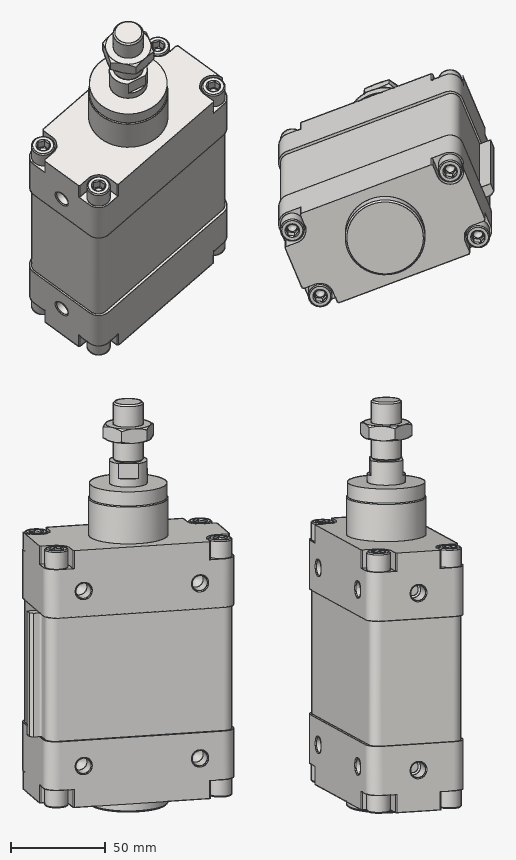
import cadquery as cq
import math

CAP_WIDTH = 54.0
CAP_DEPTH = 104.0
CAP_HEIGHT = 36.2
CAP_CORNER_RADIUS = 7.2
BARREL_WIDTH = 51.0
BARREL_DEPTH = 102.0
BARREL_HEIGHT = 67.1
BARREL_CORNER_RADIUS = 5.5

RAIL_LEFT = -12.9
RAIL_WIDTH = 6.0
RAIL_HEIGHT = 5.2
RAIL_CHAMFER_X = 1.5
RAIL_CHAMFER_Y = 2.0
RAIL_ROOT_RADIUS = 1.0

COLLAR_DIAMETER = 42.0
BOSS_HEIGHT = 6.3
BOSS_CHAMFER = 0.9
COLLAR_HEIGHT = 20.5
COLLAR_NECK_DIAMETER = 41.0
COLLAR_NECK_HEIGHT = 7.6

DRILL_TIP_SLOPE = 0.5

POCKET_DIAMETER = 14.4
POCKET_MOUTH_CHAMFER = 0.7
POCKET_DEPTH = 9.8
SCREW_DIAMETER = 12.5
SCREW_CHAMFER = 0.7
SOCKET_RIM_DIAMETER = 7.6
SOCKET_HEX_WIDTH = 6.0
SOCKET_DEPTH = 5.5
SOCKET_DRILL_DIAMETER = 5.0

PORT_DIAMETER = 8.3
PORT_RIM_DIAMETER = 9.4
PORT_FLOOR_DIAMETER = 6.0
PORT_DEPTH = 8.7
PORT_INSET = 22.2
SIDE_PORT_OFFSET = 31.8

ROD_DIAMETER = 20.0
ROD_LENGTH = 12.5
FLAT_WIDTH = 17.0
FLAT_HEIGHT = 8.0
FLAT_TURN = -15
THREAD_DIAMETER = 16.0
THREAD_CHAMFER = 0.9
TOTAL_HEIGHT = 218.0
NUT_WIDTH = 24.0
NUT_HEIGHT = 7.8
NUT_BOTTOM = 198.2
NUT_CHAMFER_ANGLE = 30
NUT_TURN = 30

CAPS_BOTTOM = BOSS_HEIGHT
BARREL_BOTTOM = CAPS_BOTTOM + CAP_HEIGHT
BARREL_TOP = BARREL_BOTTOM + BARREL_HEIGHT
CAPS_TOP = BARREL_TOP + CAP_HEIGHT
COLLAR_TOP = CAPS_TOP + COLLAR_HEIGHT
ROD_BOTTOM = COLLAR_TOP + COLLAR_NECK_HEIGHT
ROD_SHOULDER = ROD_BOTTOM + ROD_LENGTH

SCREW_X = CAP_WIDTH / 2 - CAP_CORNER_RADIUS
SCREW_Y = CAP_DEPTH / 2 - CAP_CORNER_RADIUS


def level(z):
    return cq.Workplane("XY").workplane(offset=z)


def rounded_block(width, depth, height, corner_radius, z):
    block = level(z).rect(width, depth).extrude(height)
    return block.edges("|Z").fillet(corner_radius)


def hexagon(across_flats, height, z):
    across_corners = across_flats / math.cos(math.pi / 6)
    return level(z).polygon(6, across_corners).extrude(height)


def downward_cone(radius, depth, x, y, z):
    return cq.Workplane(cq.Solid.makeCone(radius, 0, depth, cq.Vector(x, y, z), cq.Vector(0, 0, -1)))


def barrel():
    block = rounded_block(BARREL_WIDTH, BARREL_DEPTH, BARREL_HEIGHT, BARREL_CORNER_RADIUS, BARREL_BOTTOM)
    barrel_face = BARREL_DEPTH / 2
    rail_top = CAP_DEPTH / 2 + RAIL_HEIGHT
    rail_right = RAIL_LEFT + RAIL_WIDTH
    rail = (
        level(BARREL_BOTTOM)
        .moveTo(rail_right, 0)
        .lineTo(rail_right, rail_top)
        .lineTo(RAIL_LEFT + RAIL_CHAMFER_X, rail_top)
        .lineTo(RAIL_LEFT, rail_top - RAIL_CHAMFER_Y)
        .lineTo(RAIL_LEFT, barrel_face + RAIL_ROOT_RADIUS)
        .radiusArc((RAIL_LEFT - RAIL_ROOT_RADIUS, barrel_face), RAIL_ROOT_RADIUS)
        .lineTo(RAIL_LEFT - RAIL_ROOT_RADIUS, 0)
        .close()
        .extrude(BARREL_HEIGHT)
    )
    return block.union(rail)


def collar():
    base = level(CAPS_TOP).circle(COLLAR_DIAMETER / 2).extrude(COLLAR_HEIGHT)
    base = base.faces(">Z").chamfer((COLLAR_DIAMETER - COLLAR_NECK_DIAMETER) / 2)
    neck = level(COLLAR_TOP).circle(COLLAR_NECK_DIAMETER / 2).extrude(COLLAR_NECK_HEIGHT)
    return base.union(neck)


def boss():
    disc = level(0).circle(COLLAR_DIAMETER / 2).extrude(BOSS_HEIGHT)
    return disc.faces("<Z").chamfer(BOSS_CHAMFER)


def pocket_opening(angle):
    """Slot from the Z axis out past a cap face, with its mouth chamfered, turned about Z."""
    half_width = POCKET_DIAMETER / 2
    to_face = CAP_CORNER_RADIUS
    chamfer_start = to_face - POCKET_MOUTH_CHAMFER
    mouth_half_width = half_width + POCKET_MOUTH_CHAMFER
    outline = [
        (0, -half_width),
        (chamfer_start, -half_width),
        (to_face, -mouth_half_width),
        (2 * to_face, -mouth_half_width),
        (2 * to_face, mouth_half_width),
        (to_face, mouth_half_width),
        (chamfer_start, half_width),
        (0, half_width),
    ]
    slot = level(CAPS_TOP - POCKET_DEPTH).polyline(outline).close().extrude(POCKET_DEPTH)
    return slot.rotate((0, 0, 0), (0, 0, 1), angle)


def corner_pocket(side_x, side_y):
    """Counterbore at a top corner, opened straight out to the neighbouring cap faces."""
    pocket = level(CAPS_TOP - POCKET_DEPTH).circle(POCKET_DIAMETER / 2).extrude(POCKET_DEPTH)
    pocket = pocket.union(pocket_opening(90 - 90 * side_x))
    if side_x < 0 or side_y < 0:
        pocket = pocket.union(pocket_opening(90 * side_y))
    return pocket.translate((side_x * SCREW_X, side_y * SCREW_Y, 0))


def screw_head(x, y):
    head = level(CAPS_TOP - POCKET_DEPTH).center(x, y).circle(SCREW_DIAMETER / 2).extrude(POCKET_DEPTH)
    head = head.faces(">Z").chamfer(SCREW_CHAMFER)
    socket = hexagon(SOCKET_HEX_WIDTH, SOCKET_DEPTH, CAPS_TOP - SOCKET_DEPTH).translate((x, y, 0))
    rim_radius = SOCKET_RIM_DIAMETER / 2
    lead_in = downward_cone(rim_radius, rim_radius, x, y, CAPS_TOP)
    drill_radius = SOCKET_DRILL_DIAMETER / 2
    drill_tip = downward_cone(drill_radius, drill_radius * DRILL_TIP_SLOPE, x, y, CAPS_TOP - SOCKET_DEPTH)
    return head.cut(socket).cut(lead_in).cut(drill_tip)


def port(tip_radius):
    """Blind port running from the origin along +Y, with a countersunk rim and a tapered end."""
    radius = PORT_DIAMETER / 2
    rim_radius = PORT_RIM_DIAMETER / 2
    taper_end = PORT_DEPTH + (radius - tip_radius) * DRILL_TIP_SLOPE
    outline = [
        (0, 0),
        (rim_radius, 0),
        (radius, rim_radius - radius),
        (radius, PORT_DEPTH),
        (tip_radius, taper_end),
    ]
    if tip_radius > 0:
        outline.append((0, taper_end))
    return cq.Workplane("XY").polyline(outline).close().revolve(360, (0, 0, 0), (0, 1, 0))


def upper_cap():
    cap = rounded_block(CAP_WIDTH, CAP_DEPTH, CAP_HEIGHT, CAP_CORNER_RADIUS, BARREL_TOP)
    for side_x in (-1, 1):
        for side_y in (-1, 1):
            cap = cap.cut(corner_pocket(side_x, side_y))
            cap = cap.union(screw_head(side_x * SCREW_X, side_y * SCREW_Y))

    port_level = CAPS_TOP - PORT_INSET
    front_port = port(PORT_FLOOR_DIAMETER / 2)
    cap = cap.cut(front_port.translate((0, -CAP_DEPTH / 2, port_level)))
    side_port = port(0).rotate((0, 0, 0), (0, 0, 1), -90)
    for y in (-SIDE_PORT_OFFSET, SIDE_PORT_OFFSET):
        cap = cap.cut(side_port.translate((-CAP_WIDTH / 2, y, port_level)))
    return cap


def make_housing():
    top = upper_cap()
    bottom = top.mirror("XY", (0, 0, (BARREL_BOTTOM + BARREL_TOP) / 2))
    return barrel().union(top).union(bottom).union(collar()).union(boss())


def make_rod():
    shank = level(ROD_BOTTOM).circle(ROD_DIAMETER / 2).extrude(ROD_LENGTH)
    flats = level(ROD_SHOULDER - FLAT_HEIGHT).rect(FLAT_WIDTH, 2 * ROD_DIAMETER).extrude(FLAT_HEIGHT)
    flats = flats.rotate((0, 0, 0), (0, 0, 1), FLAT_TURN)
    round_part = level(ROD_BOTTOM).circle(ROD_DIAMETER / 2).extrude(ROD_LENGTH - FLAT_HEIGHT)
    shank = shank.intersect(flats.union(round_part))
    thread = level(ROD_SHOULDER).circle(THREAD_DIAMETER / 2).extrude(TOTAL_HEIGHT - ROD_SHOULDER)
    thread = thread.faces("<Z or >Z").chamfer(THREAD_CHAMFER)
    return shank.union(thread)


def make_nut():
    nut = hexagon(NUT_WIDTH, NUT_HEIGHT, NUT_BOTTOM).rotate((0, 0, 0), (0, 0, 1), NUT_TURN)
    land_radius = NUT_WIDTH / 2
    corner_radius = land_radius / math.cos(math.pi / 6)
    rise = (corner_radius - land_radius) * math.tan(math.radians(NUT_CHAMFER_ANGLE))
    profile = [
        (0, 0),
        (land_radius, 0),
        (corner_radius, rise),
        (corner_radius, NUT_HEIGHT - rise),
        (land_radius, NUT_HEIGHT),
        (0, NUT_HEIGHT),
    ]
    envelope = cq.Workplane("XZ").polyline(profile).close().revolve(360, (0, 0, 0), (0, 1, 0))
    nut = nut.intersect(envelope.translate((0, 0, NUT_BOTTOM)))
    bore = level(NUT_BOTTOM).circle(THREAD_DIAMETER / 2).extrude(NUT_HEIGHT)
    return nut.cut(bore)


housing = make_housing()
rod = make_rod()
nut = make_nut()

result = cq.Compound.makeCompound([housing.val(), rod.val(), nut.val()])